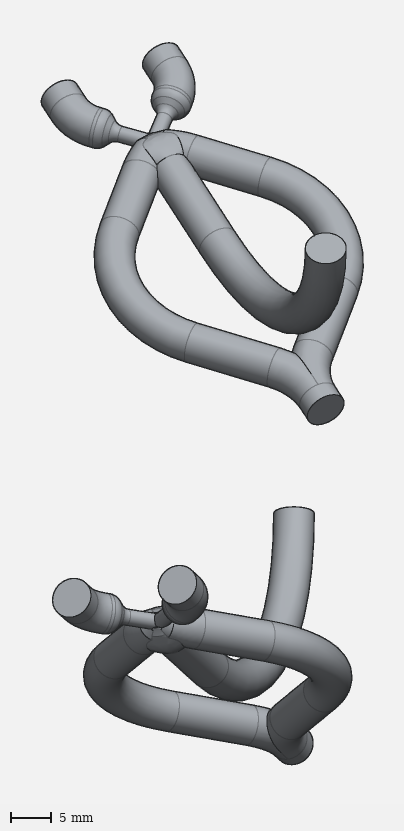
import cadquery as cq
import math

tube_radius = 2.5
neck_radius = 1.0

node_x = 12.0

tail_crossing_x = 54.0
tail_end_x = 60.0
bow_height = 13.82
bow_bend_radius = 15.0
tail_bend_radius = 10.0
flare_base_radius = 1.4
flare_waist_radius = 2.05
flare_waist_distance = 1.1
flare_shoulder_radius = 2.33
flare_length = 5.2

rise_start_x = 30.0
rise_bend_radius = 30.0

hub_start_x = 11.2
hub_shoulder_x = 12.1
hub_shoulder_half_width = 2.6
hub_shoulder_half_height = 1.8
hub_crest_x = 14.2
hub_crest_half_width = 4.5
hub_crest_half_height = 2.75
hub_end_x = 16.7

inlet_y = 6.87
inlet_length = 2.5
inlet_bend_radius = 6.0
inlet_angle = math.radians(44)

collar_length = 0.45
reducer_round_radius = 1.5
cone_angle = math.radians(45)


def sweep_tube(path, start, direction):
    """Sweep the tube's round section along a path that begins at start."""
    section = cq.Workplane(cq.Plane(origin=start, normal=direction)).circle(tube_radius)
    return section.sweep(path)


def revolve_along(profile, start, angle):
    """Revolve a (distance, radius) profile about X, then lay its axis in XY at the given angle."""
    body = profile.close().revolve(360, (0, 0, 0), (1, 0, 0))
    return body.rotate((0, 0, 0), (0, 0, 1), math.degrees(angle)).translate(start)


def make_side_tube():
    """+Y side tube: flared start, straight, bow, straight, tail bend and tail end."""
    bow_x = (node_x + tail_crossing_x) / 2
    half_span = bow_x - node_x
    bow_centre_y = bow_height - bow_bend_radius
    to_centre = math.atan2(bow_centre_y, half_span)
    angle = to_centre + math.asin(bow_bend_radius / math.hypot(half_span, bow_centre_y))

    bow_dx = bow_bend_radius * math.sin(angle)
    bow_y = bow_centre_y + bow_bend_radius * math.cos(angle)
    tail_tangent = tail_bend_radius * math.tan(angle / 2)
    tail_bend_end_x = tail_crossing_x + tail_tangent
    tail_bend_start = (tail_crossing_x - tail_tangent * math.cos(angle), tail_tangent * math.sin(angle))
    tail_bend_middle = (
        tail_bend_end_x - tail_bend_radius * math.sin(angle / 2),
        tail_bend_radius * (1 - math.cos(angle / 2)),
    )
    flare_end = (node_x + flare_length * math.cos(angle), flare_length * math.sin(angle))

    path = (
        cq.Workplane("XY")
        .moveTo(*flare_end)
        .lineTo(bow_x - bow_dx, bow_y)
        .threePointArc((bow_x, bow_height), (bow_x + bow_dx, bow_y))
        .lineTo(*tail_bend_start)
        .threePointArc(tail_bend_middle, (tail_bend_end_x, 0))
        .lineTo(tail_end_x, 0)
    )
    tube = sweep_tube(path, (*flare_end, 0), (math.cos(angle), math.sin(angle), 0))

    flare_profile = (
        cq.Workplane("XY")
        .lineTo(0, flare_base_radius)
        .lineTo(flare_waist_distance, flare_waist_radius)
        .threePointArc((flare_length / 2, flare_shoulder_radius), (flare_length, tube_radius))
        .lineTo(flare_length, 0)
    )
    return tube.union(revolve_along(flare_profile, (node_x, 0, 0), angle))


def make_middle_tube():
    """Middle tube: straight from the hub, then a quarter turn upward."""
    turn_end = (rise_start_x + rise_bend_radius, rise_bend_radius)
    turn_middle = (
        rise_start_x + rise_bend_radius * math.sin(math.pi / 4),
        rise_bend_radius * (1 - math.cos(math.pi / 4)),
    )
    path = (
        cq.Workplane("XZ")
        .moveTo(hub_end_x, 0)
        .lineTo(rise_start_x, 0)
        .threePointArc(turn_middle, turn_end)
    )
    return sweep_tube(path, (hub_end_x, 0, 0), (1, 0, 0))


def make_hub():
    """Swollen node body: a short cone, then a crown that runs into the middle tube."""
    shoulder_offset = hub_shoulder_x - hub_start_x
    crest_offset = hub_crest_x - hub_shoulder_x
    end_offset = hub_end_x - hub_crest_x
    cone = (
        cq.Workplane("YZ", origin=(hub_start_x, 0, 0))
        .ellipse(neck_radius, neck_radius)
        .workplane(offset=shoulder_offset)
        .ellipse(hub_shoulder_half_width, hub_shoulder_half_height)
        .loft(ruled=True)
    )
    crown = (
        cq.Workplane("YZ", origin=(hub_shoulder_x, 0, 0))
        .ellipse(hub_shoulder_half_width, hub_shoulder_half_height)
        .workplane(offset=crest_offset)
        .ellipse(hub_crest_half_width, hub_crest_half_height)
        .workplane(offset=end_offset)
        .ellipse(tube_radius, tube_radius)
        .loft()
    )
    return cone.union(crown)


def make_inlet():
    """+Y inlet: straight end, elbow, rounded reducer and the thin neck to the node."""
    bend_end = (
        inlet_length + inlet_bend_radius * math.sin(inlet_angle),
        inlet_y - inlet_bend_radius * (1 - math.cos(inlet_angle)),
    )
    bend_middle = (
        inlet_length + inlet_bend_radius * math.sin(inlet_angle / 2),
        inlet_y - inlet_bend_radius * (1 - math.cos(inlet_angle / 2)),
    )
    path = (
        cq.Workplane("XY")
        .moveTo(0, inlet_y)
        .lineTo(inlet_length, inlet_y)
        .threePointArc(bend_middle, bend_end)
    )
    elbow = sweep_tube(path, (0, inlet_y, 0), (1, 0, 0))

    round_run = reducer_round_radius * math.sin(cone_angle)
    round_drop = reducer_round_radius * (1 - math.cos(cone_angle))
    half_run = reducer_round_radius * math.sin(cone_angle / 2)
    half_drop = reducer_round_radius * (1 - math.cos(cone_angle / 2))
    cone_drop = tube_radius - neck_radius - 2 * round_drop
    cone_start = collar_length + round_run
    cone_end = cone_start + cone_drop / math.tan(cone_angle)
    neck_start = cone_end + round_run
    neck_end = bend_end[1] / math.sin(inlet_angle)

    reducer_profile = (
        cq.Workplane("XY")
        .lineTo(0, tube_radius)
        .lineTo(collar_length, tube_radius)
        .threePointArc(
            (collar_length + half_run, tube_radius - half_drop),
            (cone_start, tube_radius - round_drop),
        )
        .lineTo(cone_end, neck_radius + round_drop)
        .threePointArc(
            (neck_start - half_run, neck_radius + half_drop),
            (neck_start, neck_radius),
        )
        .lineTo(neck_end, neck_radius)
        .lineTo(neck_end, 0)
    )
    return elbow.union(revolve_along(reducer_profile, (*bend_end, 0), -inlet_angle))


side_tube = make_side_tube()
inlet = make_inlet()

result = make_hub().union(make_middle_tube())
for half in (side_tube, inlet):
    result = result.union(half).union(half.mirror("XZ"))